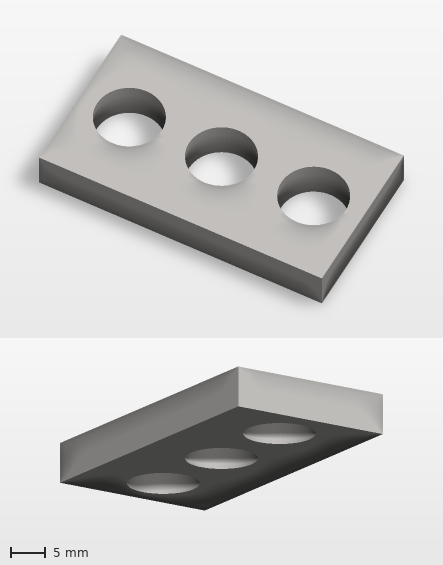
import cadquery as cq

length = 46.0
width = 25.0
thickness = 6.0

hole_diameter = 10.5
hole_pitch = 15.0
hole_count = 3

plate = cq.Workplane("XY").box(length, width, thickness)

result = (
    plate.faces(">Z")
    .workplane()
    .rarray(hole_pitch, 0.45, hole_count, 1)
    .hole(hole_diameter)
)